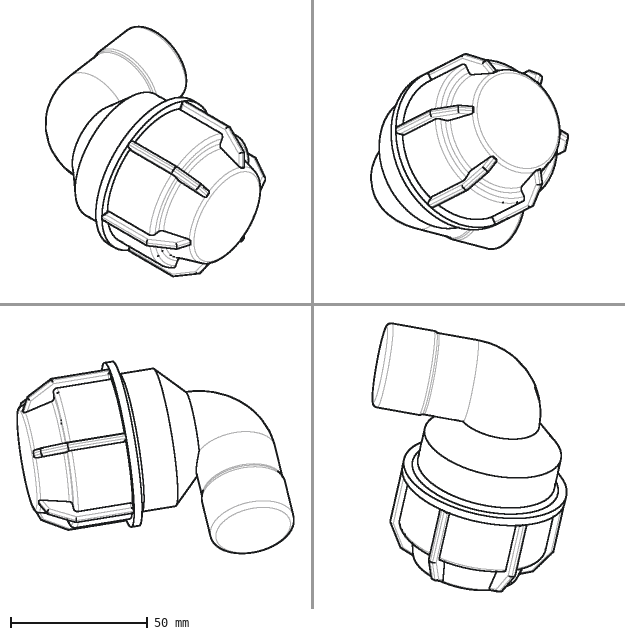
import cadquery as cq
import math


overall_length = 90.7
overall_width = 77.5
flange_radius = 61.0 / 2

pipe_radius = 30.4 / 2
bend_radius = 13.3
spigot_radius = 31.4 / 2
spigot_end = overall_width - flange_radius
spigot_end_fillet = 1.7

step_start = 28.0
step_middle = 28.75
step_end = 29.7

hub_radius = 51.2 / 2
hub_cone_end = bend_radius + hub_radius - pipe_radius

collar_radius = 27.3
collar_start = 36.4
flange_start = collar_start + collar_radius - hub_radius
flange_thickness = 3.0
flange_end = flange_start + flange_thickness
barrel_radius = 27.5
shoulder = 62.75
nose_base_radius = 22.8
nose_taper = math.radians(15)
nut_end = overall_length - spigot_radius
nose_end_radius = nose_base_radius - (nut_end - shoulder) * math.tan(nose_taper)
nut_fillet = 1.45

rib_count = 6
rib_thickness = 3.0
rib_fillet = 1.0
rib_root_radius = 16.3
rib_knee = (72.3, 24.8)
rib_tip = (74.45, 19.8)

box_margin = 0.1


def make_spigot():
    """Turned pipe along +Y, thickening through a gentle S-shaped step into the spigot."""
    step_fraction = (step_middle - step_start) / (step_end - step_start)
    middle_radius = pipe_radius + (spigot_radius - pipe_radius) * step_fraction
    return (
        cq.Workplane("XY")
        .moveTo(0, bend_radius)
        .lineTo(pipe_radius, bend_radius)
        .lineTo(pipe_radius, step_start)
        .tangentArcPoint((middle_radius, step_middle), relative=False)
        .tangentArcPoint((spigot_radius, step_end), relative=False)
        .lineTo(spigot_radius, spigot_end)
        .lineTo(0, spigot_end)
        .close()
        .revolve(360, (0, 0), (0, 1))
        .faces(">Y").edges().fillet(spigot_end_fillet)
    )


def make_bend():
    """Quarter torus, its section cut off at the bend axis because the inner side would cross it."""
    half_chord = math.sqrt(pipe_radius**2 - bend_radius**2)
    return (
        cq.Workplane("XZ", origin=(0, bend_radius, 0))
        .moveTo(bend_radius, -half_chord)
        .threePointArc((-pipe_radius, 0), (bend_radius, half_chord))
        .close()
        .revolve(90, (bend_radius, 0), (bend_radius, 1))
    )


def make_hub_and_nut():
    """Turned body about X: cone, hub, collar, flange, nut barrel and tapered nose."""
    body = (
        cq.Workplane("XY")
        .moveTo(bend_radius, 0)
        .lineTo(bend_radius, pipe_radius)
        .lineTo(hub_cone_end, hub_radius)
        .lineTo(collar_start, hub_radius)
        .lineTo(flange_start, collar_radius)
        .lineTo(flange_start, flange_radius)
        .lineTo(flange_end, flange_radius)
        .lineTo(flange_end, barrel_radius)
        .lineTo(shoulder, barrel_radius)
        .lineTo(shoulder, nose_base_radius)
        .lineTo(nut_end, nose_end_radius)
        .lineTo(nut_end, 0)
        .close()
        .revolve(360, (0, 0), (1, 0))
    )
    nut_edges = cq.selectors.BoxSelector(
        (shoulder - box_margin, -flange_radius, -flange_radius),
        (nut_end + box_margin, flange_radius, flange_radius),
        boundingbox=False,
    )
    return body.edges("%CIRCLE").edges(nut_edges).fillet(nut_fillet)


def make_rib():
    """One nut rib in the +Y direction, with its outer side edges rounded."""
    outline = (
        cq.Workplane("XY", origin=(0, 0, -rib_thickness / 2))
        .moveTo(flange_end, rib_root_radius)
        .lineTo(flange_end, flange_radius)
        .lineTo(shoulder, flange_radius)
        .lineTo(*rib_knee)
        .lineTo(*rib_tip)
        .lineTo(rib_tip[0], rib_root_radius)
        .close()
    )
    outer_edges = cq.selectors.BoxSelector(
        (flange_end, rib_tip[1] + box_margin, -rib_thickness),
        (rib_tip[0], flange_radius + box_margin, rib_thickness),
    )
    return (
        outline.extrude(rib_thickness)
        .faces("<Z or >Z").edges(outer_edges).fillet(rib_fillet)
    )


result = make_spigot().union(make_bend()).union(make_hub_and_nut())
for index in range(rib_count):
    angle = index * 360 / rib_count
    result = result.union(make_rib().rotate((0, 0, 0), (1, 0, 0), angle))